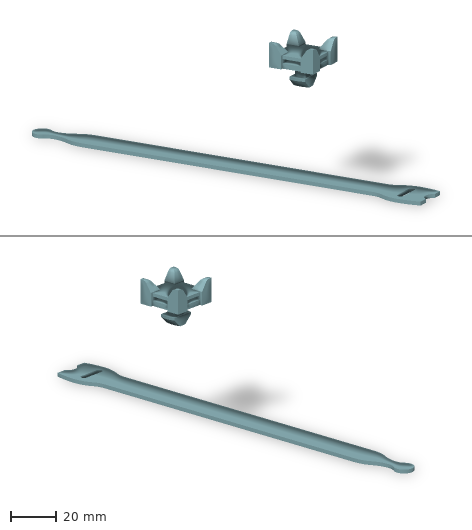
import cadquery as cq
import math

STRAP_LENGTH = 200.0
STRAP_THICKNESS = 1.8
STRAP_HALF_WIDTH = 6.5
BALL_RADIUS = 4.5
BALL_END_X = 6.8
NECK_X = 11.2
NECK_HALF_WIDTH = 2.4
TAIL_INFLECTION = (18.8, 4.2)
TAIL_SHOULDER_X = 27.8
HEAD_SHOULDER_X = 174.5
HEAD_INFLECTION = (180.8, 8.4)
HEAD_PEAK_X = 189.2
HEAD_HALF_WIDTH = 10.2
HEAD_END_HALF_WIDTH = 8.8
NOTCH_DEPTH = 2.4
NOTCH_HALF_WIDTH = 4.2
SLOT_X = 187.8
SLOT_LENGTH = 13.2
SLOT_WIDTH = 3.0

MOUNT_WIDTH = 22.2
MOUNT_X = 131.8
MOUNT_BACK_Y = 18.5
MOUNT_Y = MOUNT_BACK_Y - MOUNT_WIDTH / 2
MOUNT_TOP_Z = 61.5
POST_WIDTH = 6.2
POST_HEIGHT = 11.4
POST_FLAT = 2.8
POST_SLOPE_DROP = 5.0
POST_EDGE_RADIUS = 2.8
PLATE_WIDTH = 19.5
UPPER_PLATE_DROP = 5.4
UPPER_PLATE_THICKNESS = 1.5
LOWER_PLATE_THICKNESS = 2.4
STEM_WIDTH = 6.8
STEM_DEPTH = 8.4
STEM_LENGTH = 4.8
STEM_CORNER_RADIUS = 3.8
BARB_WIDTH = 8.0
BARB_DEPTH = 12.2
BARB_TIP_DEPTH = 4.5
BARB_RIM_HEIGHT = 1.2
BARB_TAPER_HEIGHT = 3.5
BARB_END_RADIUS = 12.0

MOUNT_BASE_Z = MOUNT_TOP_Z - POST_HEIGHT
STEM_BASE_Z = MOUNT_BASE_Z - STEM_LENGTH


def arc_middle(level_point, end_point):
    """Middle of the arc that runs parallel to X at level_point and reaches end_point."""
    dx = end_point[0] - level_point[0]
    dy = end_point[1] - level_point[1]
    radius = (dx**2 + dy**2) / (2 * abs(dy))
    half_angle = math.atan2(abs(dy), abs(dx))
    return (
        level_point[0] + math.copysign(radius * math.sin(half_angle), dx),
        level_point[1] + math.copysign(radius * (1 - math.cos(half_angle)), dy),
    )


def make_strap():
    ball_reach = BALL_END_X - BALL_RADIUS
    ball_end = (BALL_END_X, math.sqrt(BALL_RADIUS**2 - ball_reach**2))
    ball_quarter = (BALL_RADIUS * (1 - math.sqrt(0.5)), BALL_RADIUS * math.sqrt(0.5))
    neck = (NECK_X, NECK_HALF_WIDTH)
    tail_shoulder = (TAIL_SHOULDER_X, STRAP_HALF_WIDTH)
    head_shoulder = (HEAD_SHOULDER_X, STRAP_HALF_WIDTH)
    head_peak = (HEAD_PEAK_X, HEAD_HALF_WIDTH)
    head_end = (STRAP_LENGTH, HEAD_END_HALF_WIDTH)
    notch_bottom = (STRAP_LENGTH - NOTCH_DEPTH, 0)
    notch_corner = (STRAP_LENGTH, NOTCH_HALF_WIDTH)
    notch_radius = (NOTCH_HALF_WIDTH**2 + NOTCH_DEPTH**2) / (2 * NOTCH_DEPTH)

    half = (
        cq.Workplane("XY")
        .moveTo(0, 0)
        .threePointArc(ball_quarter, ball_end)
        .threePointArc(arc_middle(neck, ball_end), neck)
        .threePointArc(arc_middle(neck, TAIL_INFLECTION), TAIL_INFLECTION)
        .threePointArc(arc_middle(tail_shoulder, TAIL_INFLECTION), tail_shoulder)
        .lineTo(*head_shoulder)
        .threePointArc(arc_middle(head_shoulder, HEAD_INFLECTION), HEAD_INFLECTION)
        .threePointArc(arc_middle(head_peak, HEAD_INFLECTION), head_peak)
        .threePointArc(arc_middle(head_peak, head_end), head_end)
        .lineTo(*notch_corner)
        .radiusArc(notch_bottom, -notch_radius)
        .close()
        .extrude(STRAP_THICKNESS)
    )
    slot = (
        cq.Workplane("XY")
        .center(SLOT_X, 0)
        .slot2D(SLOT_LENGTH, SLOT_WIDTH, 90)
        .extrude(STRAP_THICKNESS)
    )
    return half.union(half.mirror("XZ")).clean().cut(slot)


def make_post_slab():
    """Post outline in X and Z, extruded along +Y by the post width; outer top corner at the origin."""
    rounded_edge = cq.selectors.NearestToPointSelector((POST_FLAT, POST_WIDTH / 2, 0))
    return (
        cq.Workplane("XZ")
        .polyline([
            (0, -POST_HEIGHT),
            (POST_WIDTH, -POST_HEIGHT),
            (POST_WIDTH, -POST_SLOPE_DROP),
            (POST_FLAT, 0),
            (0, 0),
        ])
        .close()
        .extrude(-POST_WIDTH)
        .edges(rounded_edge)
        .fillet(POST_EDGE_RADIUS)
    )


def make_post():
    """Corner post whose two inner sides lean outward and meet on the diagonal."""
    slab = make_post_slab()
    crossing_slab = slab.rotate((0, 0, 0), (0, 0, 1), 90).translate((POST_WIDTH, 0, 0))
    post = slab.intersect(crossing_slab)
    return post.translate((-MOUNT_WIDTH / 2, -MOUNT_WIDTH / 2, MOUNT_TOP_Z))


def make_plate(bottom_z, thickness):
    return (
        cq.Workplane("XY", origin=(0, 0, bottom_z))
        .rect(PLATE_WIDTH, PLATE_WIDTH)
        .extrude(thickness)
    )


def make_stem():
    """Rectangular stem with two diagonally opposite corners rounded."""
    block = (
        cq.Workplane("XY", origin=(0, 0, STEM_BASE_Z))
        .rect(STEM_WIDTH, STEM_DEPTH)
        .extrude(STEM_LENGTH)
    )
    for side in (-1, 1):
        corner = (side * STEM_WIDTH / 2, side * STEM_DEPTH / 2, STEM_BASE_Z + STEM_LENGTH / 2)
        block = block.edges(cq.selectors.NearestToPointSelector(corner)).fillet(STEM_CORNER_RADIUS)
    return block


def barb_outline(workplane, depth):
    """Outline with straight sides and two bulging ends, depth long over the bulges."""
    half_width = BARB_WIDTH / 2
    bulge = BARB_END_RADIUS - math.sqrt(BARB_END_RADIUS**2 - half_width**2)
    side_end = depth / 2 - bulge
    return (
        workplane
        .moveTo(-half_width, -side_end)
        .threePointArc((0, -depth / 2), (half_width, -side_end))
        .lineTo(half_width, side_end)
        .threePointArc((0, depth / 2), (-half_width, side_end))
        .close()
    )


def make_barb():
    rim_z = STEM_BASE_Z - BARB_RIM_HEIGHT
    start = cq.Workplane("XY", origin=(0, 0, rim_z))
    rim = barb_outline(start, BARB_DEPTH).extrude(BARB_RIM_HEIGHT)
    tip_plane = barb_outline(start, BARB_DEPTH).workplane(offset=-BARB_TAPER_HEIGHT)
    taper = barb_outline(tip_plane, BARB_TIP_DEPTH).loft(ruled=True)
    return rim.union(taper)


def make_mount():
    upper_plate_z = MOUNT_TOP_Z - UPPER_PLATE_DROP - UPPER_PLATE_THICKNESS
    mount = make_plate(MOUNT_BASE_Z, LOWER_PLATE_THICKNESS)
    post = make_post()
    for quarter_turn in range(4):
        mount = mount.union(post.rotate((0, 0, 0), (0, 0, 1), 90 * quarter_turn))
    mount = mount.union(make_plate(upper_plate_z, UPPER_PLATE_THICKNESS))
    mount = mount.union(make_stem()).union(make_barb())
    return mount.translate((MOUNT_X, MOUNT_Y, 0))


strap = make_strap()
mount = make_mount()
result = cq.Compound.makeCompound([strap.val(), mount.val()])